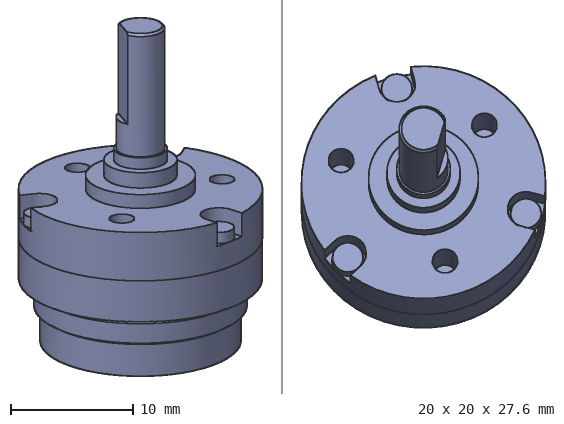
import cadquery as cq

TOTAL_HEIGHT = 27.6
COLLAR_CHAMFER_BOTTOM_Z = 2.8
COLLAR_TOP_Z = 4.8
HOUSING_BOTTOM_Z = 5.45
CAP_BOTTOM_Z = 9.05
CAP_TOP_Z = 13.3

SPIGOT_DIAMETER = 16.5
COLLAR_DIAMETER = 17.5
COLLAR_CHAMFER_HEIGHT = 0.3
COLLAR_CHAMFER_WIDTH = 0.5
HOUSING_DIAMETER = 19.99
CAP_DIAMETER = 20.0

PILOT_DIAMETER = 9.0
PILOT_HEIGHT = 1.2
BEARING_DIAMETER = 6.0
BEARING_HEIGHT = 1.35
SHOULDER_DIAMETER = 4.4
SHOULDER_HEIGHT = 1.0

SHAFT_DIAMETER = 4.0
SHAFT_CHAMFER = 0.2
FLAT_LENGTH = 8.0
FLAT_OFFSET = 1.5

HOLE_DIAMETER = 2.05
HOLE_CIRCLE_RADIUS = 7.0
HOLE_ANGLES = (90, 210, 330)
HOLE_DEPTH = CAP_TOP_Z - CAP_BOTTOM_Z

SLOT_WIDTH = 3.0
SLOT_DEPTH = 2.05
SCREW_CIRCLE_RADIUS = 8.7
SCREW_HEAD_BASE_DIAMETER = 2.6
SCREW_HEAD_TOP_DIAMETER = 2.5
SCREW_HEAD_HEIGHT = 0.95
SCREW_ANGLES = (30, 150, 270)


def cylinder(diameter, bottom, top):
    """Solid cylinder on the Z axis between two heights."""
    return cq.Workplane("XY").workplane(offset=bottom).circle(diameter / 2).extrude(top - bottom)


def make_collar():
    """Collar with a conical lower edge."""
    outer_radius = COLLAR_DIAMETER / 2
    chamfer_top = COLLAR_CHAMFER_BOTTOM_Z + COLLAR_CHAMFER_HEIGHT
    profile = (
        cq.Workplane("XZ")
        .moveTo(0, COLLAR_CHAMFER_BOTTOM_Z)
        .lineTo(outer_radius - COLLAR_CHAMFER_WIDTH, COLLAR_CHAMFER_BOTTOM_Z)
        .lineTo(outer_radius, chamfer_top)
        .lineTo(outer_radius, COLLAR_TOP_Z)
        .lineTo(0, COLLAR_TOP_Z)
        .close()
    )
    return profile.revolve(360, (0, 0), (0, 1))


def make_boss():
    """Pilot, bearing and shoulder stacked on the cap."""
    pilot_top = CAP_TOP_Z + PILOT_HEIGHT
    bearing_top = pilot_top + BEARING_HEIGHT
    shoulder_top = bearing_top + SHOULDER_HEIGHT
    pilot = cylinder(PILOT_DIAMETER, CAP_TOP_Z, pilot_top)
    bearing = cylinder(BEARING_DIAMETER, pilot_top, bearing_top)
    shoulder = cylinder(SHOULDER_DIAMETER, bearing_top, shoulder_top)
    return pilot.union(bearing).union(shoulder)


def make_shaft():
    """Shaft with a chamfered tip and a flat on its -Y side."""
    shaft = cylinder(SHAFT_DIAMETER, CAP_TOP_Z, TOTAL_HEIGHT).faces(">Z").chamfer(SHAFT_CHAMFER)
    flat_cutter = (
        cq.Workplane("XY")
        .workplane(offset=TOTAL_HEIGHT - FLAT_LENGTH)
        .center(0, -FLAT_OFFSET - SHAFT_DIAMETER / 2)
        .rect(2 * SHAFT_DIAMETER, SHAFT_DIAMETER)
        .extrude(FLAT_LENGTH)
    )
    return shaft.cut(flat_cutter)


def cut_mounting_holes(body):
    """Blind holes as deep as the cap, evenly spaced around the axis."""
    for angle in HOLE_ANGLES:
        hole = cylinder(HOLE_DIAMETER, CAP_TOP_Z - HOLE_DEPTH, CAP_TOP_Z)
        hole = hole.translate((HOLE_CIRCLE_RADIUS, 0, 0))
        body = body.cut(hole.rotate((0, 0, 0), (0, 0, 1), angle))
    return body


def make_screw_head(bottom):
    """Round screw head on the Z axis, tapering slightly towards its top."""
    return (
        cq.Workplane("XY")
        .workplane(offset=bottom)
        .circle(SCREW_HEAD_BASE_DIAMETER / 2)
        .workplane(offset=SCREW_HEAD_HEIGHT)
        .circle(SCREW_HEAD_TOP_DIAMETER / 2)
        .loft(ruled=True)
    )


def add_screw_slots(body):
    """Round-ended slots open to the rim, with a screw head in each."""
    slot_floor = CAP_TOP_Z - SLOT_DEPTH
    for angle in SCREW_ANGLES:
        round_end = cylinder(SLOT_WIDTH, slot_floor, CAP_TOP_Z).translate((SCREW_CIRCLE_RADIUS, 0, 0))
        open_end = (
            cq.Workplane("XY")
            .workplane(offset=slot_floor)
            .center(SCREW_CIRCLE_RADIUS + SLOT_WIDTH / 2, 0)
            .rect(SLOT_WIDTH, SLOT_WIDTH)
            .extrude(SLOT_DEPTH)
        )
        slot = round_end.union(open_end)
        head = make_screw_head(slot_floor).translate((SCREW_CIRCLE_RADIUS, 0, 0))
        body = body.cut(slot.rotate((0, 0, 0), (0, 0, 1), angle))
        body = body.union(head.rotate((0, 0, 0), (0, 0, 1), angle))
    return body


spigot = cylinder(SPIGOT_DIAMETER, 0, HOUSING_BOTTOM_Z)
housing = cylinder(HOUSING_DIAMETER, HOUSING_BOTTOM_Z, CAP_BOTTOM_Z)
cap = cylinder(CAP_DIAMETER, CAP_BOTTOM_Z, CAP_TOP_Z)

body = spigot.union(make_collar()).union(housing).union(cap)
body = cut_mounting_holes(body)
body = add_screw_slots(body)
result = body.union(make_boss()).union(make_shaft())